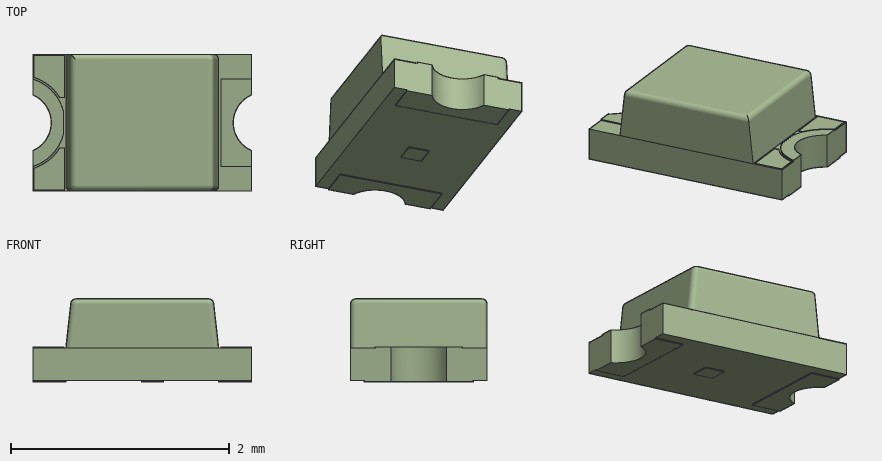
import cadquery as cq
import math


LENGTH = 2.0
WIDTH = 1.25
PAD_THICKNESS = 0.01
BOARD_THICKNESS = 0.3
BOARD_BOTTOM = PAD_THICKNESS
BOARD_TOP = BOARD_BOTTOM + BOARD_THICKNESS

NOTCH_WIDTH = 0.508
NOTCH_DEPTH = 0.165
NOTCH_RADIUS = ((NOTCH_WIDTH / 2) ** 2 + NOTCH_DEPTH ** 2) / (2 * NOTCH_DEPTH)

TOP_PAD_LENGTH = 0.28
TOP_PAD_WIDTH = 0.8
ROUND_PAD_RADIUS = 0.42
ROUND_PAD_CENTER_X = -math.sqrt(ROUND_PAD_RADIUS ** 2 - (TOP_PAD_WIDTH / 2) ** 2)
BOTTOM_PAD_LENGTH = 0.3
BOTTOM_PAD_WIDTH = 1.0

FILM_THICKNESS = 0.005
FILM_MARGIN = 0.01
FILM_INNER_Y = 0.23
FILM_GAP = 0.018

MARK_SIZE = 0.2
MARK_START_X = 0.995

LENS_HEIGHT = 0.45
LENS_MARGIN = 0.3
LENS_DRAFT = 0.05
LENS_ROUND = 0.05
LENS_BASE_LENGTH = LENGTH - 2 * LENS_MARGIN
LENS_TOP_LENGTH = LENS_BASE_LENGTH - 2 * LENS_DRAFT


def block(x_start, x_end, y_start, y_end, z_start, height):
    """Upright box between the given limits."""
    return (
        cq.Workplane("XY", origin=(x_start, y_start, z_start))
        .box(x_end - x_start, y_end - y_start, height, centered=False)
    )


def disc(center_x, radius, z_start, height):
    """Upright cylinder on the centre line of the board."""
    return cq.Workplane("XY", origin=(center_x, 0, z_start)).circle(radius).extrude(height)


def centered_block(x_start, x_end, width, z_start, height):
    """Upright box lying evenly about the centre line of the board."""
    return block(x_start, x_end, -width / 2, width / 2, z_start, height)


def make_round_pad():
    """Left top pad, cut off straight just before the lens."""
    limits = centered_block(0, TOP_PAD_LENGTH, WIDTH, BOARD_TOP, PAD_THICKNESS)
    return disc(ROUND_PAD_CENTER_X, ROUND_PAD_RADIUS, BOARD_TOP, PAD_THICKNESS).intersect(limits)


def make_film(side):
    """Film on one side of the round pad; side is -1 for the front and 1 for the back."""
    y_limits = sorted((side * FILM_INNER_Y, side * (WIDTH / 2 - FILM_MARGIN)))
    film = block(FILM_MARGIN, LENS_MARGIN - FILM_MARGIN, *y_limits, BOARD_TOP, FILM_THICKNESS)
    return film.cut(disc(ROUND_PAD_CENTER_X, ROUND_PAD_RADIUS + FILM_GAP, BOARD_TOP, FILM_THICKNESS))


def make_board():
    """Board with its pads and films, notched at both ends."""
    board = centered_block(0, LENGTH, WIDTH, BOARD_BOTTOM, BOARD_THICKNESS)
    board = board.union(make_round_pad())
    board = board.union(
        centered_block(LENGTH - TOP_PAD_LENGTH, LENGTH, TOP_PAD_WIDTH, BOARD_TOP, PAD_THICKNESS)
    )
    for x_start in (0, LENGTH - BOTTOM_PAD_LENGTH):
        board = board.union(
            centered_block(x_start, x_start + BOTTOM_PAD_LENGTH, BOTTOM_PAD_WIDTH, 0, PAD_THICKNESS)
        )
    for side in (-1, 1):
        board = board.union(make_film(side))
    notch_height = BOARD_TOP + PAD_THICKNESS
    for center_x in (NOTCH_DEPTH - NOTCH_RADIUS, LENGTH - NOTCH_DEPTH + NOTCH_RADIUS):
        board = board.cut(disc(center_x, NOTCH_RADIUS, 0, notch_height))
    return board


def make_lens():
    """Lens with sloped ends and a rounded top."""
    half_base = LENS_BASE_LENGTH / 2
    half_top = LENS_TOP_LENGTH / 2
    lens = (
        cq.Workplane("XZ", origin=(LENGTH / 2, WIDTH / 2, BOARD_TOP))
        .polyline([(-half_base, 0), (half_base, 0), (half_top, LENS_HEIGHT), (-half_top, LENS_HEIGHT)])
        .close()
        .extrude(WIDTH)
    )
    lens = lens.faces("<Y").edges("not |X").fillet(LENS_ROUND)
    lens = lens.faces(">Y").edges(">X").fillet(LENS_ROUND)
    return lens.faces(">Z").edges().fillet(LENS_ROUND)


def make_mark():
    """Flat square mark on the underside of the board."""
    return centered_block(MARK_START_X, MARK_START_X + MARK_SIZE, MARK_SIZE, 0, PAD_THICKNESS)


board = make_board()
lens = make_lens()
mark = make_mark()

result = cq.Compound.makeCompound([board.val(), lens.val(), mark.val()])